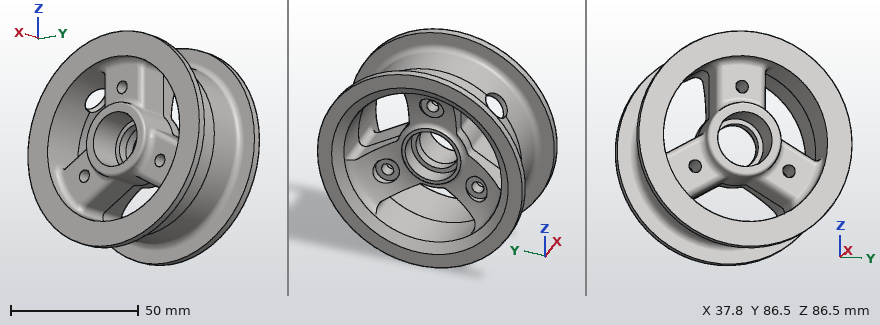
import cadquery as cq
import math


width = 37.8
rim_dia = 86.55
drum_dia = 71.3
drum_bore_dia = 66.6
flange_width = 3.2
drum_fillet = 2.5
mouth_dia = 74.5
mouth_depth = 3.0

bearing_dia = 22.0
bearing_depth = 6.7
hub_bore_dia = 18.0
shoulder_width = 4.0

hub_dia = 30.0
right_hub_end = 17.9
right_hub_round = 1.0
left_hub_end_dia = 25.0

spoke_count = 3
spoke_width = 20.0
window_fillet = 2.5
right_web_end = 13.5
spoke_round = 2.5

dish_radius = 26.0
dish_fillet = 6.0
hub_root_fillet = 1.7

bolt_circle_dia = 44.0
bolt_dia = 5.0
bolt_head_dia = 10.0
bolt_grip = 5.0

valve_dia = 11.25
valve_angle = 135.0

half_width = width / 2
rim_radius = rim_dia / 2
drum_radius = drum_dia / 2
drum_bore_radius = drum_bore_dia / 2
spoke_pitch = 360 / spoke_count
axis_start = (0, 0, 0)
axis_end = (1, 0, 0)
tolerance = 0.01


class RingEdge(cq.Selector):
    """Circular edges around the wheel axis, at a given X and radius."""

    def __init__(self, x, radius):
        self.x = x
        self.radius = radius

    def filter(self, edges):
        rings = [edge for edge in edges if edge.geomType() == "CIRCLE"]
        return [
            ring for ring in rings
            if math.isclose(ring.Center().x, self.x, abs_tol=tolerance)
            and math.isclose(ring.radius(), self.radius, abs_tol=tolerance)
        ]


def disc(diameter, start, end):
    """Cylinder on the wheel axis from X = start to X = end."""
    return cq.Workplane("YZ").workplane(offset=start).circle(diameter / 2).extrude(end - start)


def around_axis(body):
    """Copies of a body, one for each spoke; the first one stays on +Z."""
    copies = cq.Workplane("YZ")
    for i in range(spoke_count):
        copies = copies.add(body.rotate(axis_start, axis_end, i * spoke_pitch))
    return copies


def blank():
    """Solid half rim with its flange, before anything is hollowed out."""
    flange_inner = half_width - flange_width
    body = disc(drum_dia, 0, flange_inner).faces(">X").workplane()
    body = body.circle(rim_radius).extrude(flange_width)
    return body.edges(RingEdge(flange_inner, drum_radius)).fillet(drum_fillet)


def between_spokes(depth, spoke):
    """Cutter for the space between hub and drum around the spokes, with rounded corners."""
    space = disc(drum_bore_dia, 0, depth).cut(disc(hub_dia, 0, depth))
    for i in range(spoke_count):
        space = space.cut(spoke.rotate(axis_start, axis_end, i * spoke_pitch))
    return space.edges("|X").fillet(window_fillet)


def bolt_holes(head_seat):
    """Cutter for the bolt holes, one on each spoke, with or without bolt head seats."""
    hole = disc(bolt_dia, 0, half_width)
    if head_seat:
        hole = hole.union(disc(bolt_head_dia, bolt_grip, half_width))
    return around_axis(hole.translate((0, 0, bolt_circle_dia / 2))).combine()


def valve_hole():
    """Cutter for the radial hole through the drum, centred on the parting plane."""
    hole = cq.Workplane("XZ").circle(valve_dia / 2).extrude(-rim_radius)
    return hole.cut(disc(bolt_circle_dia, -width, width)).rotate(axis_start, axis_end, valve_angle)


def arc_middle(center, radius, start_angle, end_angle):
    """Point halfway along an arc, with angles from +X."""
    angle = (start_angle + end_angle) / 2
    return (center[0] + radius * math.cos(angle), center[1] + radius * math.sin(angle))


def dish():
    """Cutter for the dished face of the left web and the conical mouth."""
    hub_edge = (bearing_depth, left_hub_end_dia / 2)
    mouth_edge = (half_width - mouth_depth, drum_bore_radius)

    root_center = (bearing_depth, hub_edge[1] + hub_root_fillet)
    dish_bottom = (bearing_depth - hub_root_fillet, root_center[1])
    dish_center = (dish_bottom[0] + dish_radius, dish_bottom[1])

    rise = drum_bore_radius - dish_fillet - dish_center[1]
    run = math.sqrt((dish_radius - dish_fillet)**2 - rise**2)
    fillet_center = (dish_center[0] - run, dish_center[1] + rise)
    touch_angle = math.atan2(rise, -run)
    dish_end = (
        dish_center[0] + dish_radius * math.cos(touch_angle),
        dish_center[1] + dish_radius * math.sin(touch_angle),
    )

    return (
        cq.Workplane("XY")
        .moveTo(*hub_edge)
        .threePointArc(arc_middle(root_center, hub_root_fillet, 1.5 * math.pi, math.pi), dish_bottom)
        .threePointArc(arc_middle(dish_center, dish_radius, math.pi, touch_angle), dish_end)
        .threePointArc(
            arc_middle(fillet_center, dish_fillet, touch_angle, math.pi / 2),
            (fillet_center[0], drum_bore_radius),
        )
        .lineTo(*mouth_edge)
        .lineTo(half_width, mouth_dia / 2)
        .lineTo(half_width, 0)
        .lineTo(bearing_depth, 0)
        .close()
        .revolve(360, axis_start, axis_end)
    )


def left_rim():
    """Half with a dished web, a short hub and a conical mouth, before mirroring."""
    spoke = cq.Workplane("XY").box(width, spoke_width, rim_radius, centered=(True, True, False))
    windows = between_spokes(half_width - mouth_depth, spoke)
    half = blank().cut(dish()).cut(windows)
    half = half.cut(disc(bearing_dia, 0, bearing_depth))
    return half.cut(bolt_holes(True)).cut(valve_hole())


def right_rim():
    """Half with flat spokes and a long hub that ends just inside the flange face."""
    spoke = (
        cq.Workplane("XY")
        .box(right_web_end, spoke_width, rim_radius, centered=(False, True, False))
        .edges("|Z and >X")
        .fillet(spoke_round)
    )
    half = blank().cut(between_spokes(half_width, spoke))
    half = half.cut(disc(hub_dia, right_hub_end, half_width))
    half = half.edges(RingEdge(right_hub_end, hub_dia / 2)).fillet(right_hub_round)
    half = half.cut(disc(hub_bore_dia, 0, shoulder_width))
    half = half.cut(disc(bearing_dia, shoulder_width, half_width))
    return half.cut(bolt_holes(False)).cut(valve_hole())


left_half = left_rim().mirror("YZ")
right_half = right_rim()

result = cq.Compound.makeCompound([left_half.val(), right_half.val()])